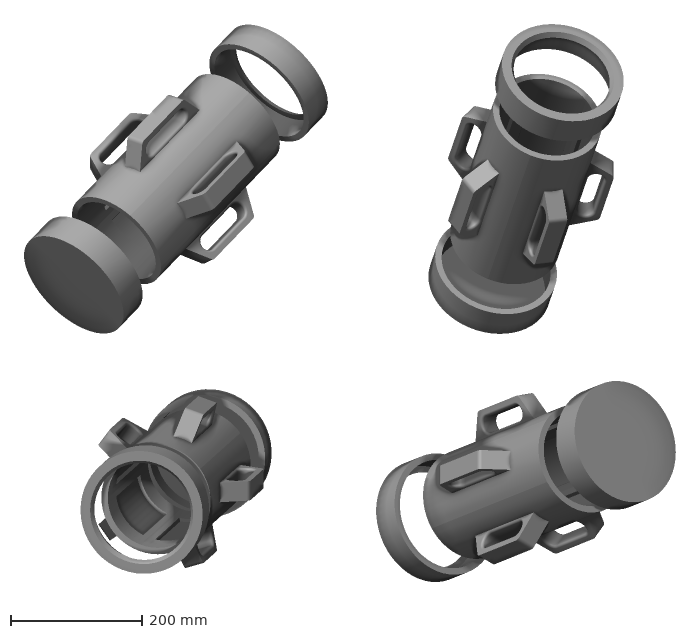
import cadquery as cq
import math

stave_count = 5
stave_angle = 360.0 / stave_count
first_stave_angle = 180.0
barrel_outer_radius = 85.0
barrel_wall = 10.0
barrel_inner_radius = barrel_outer_radius - barrel_wall
barrel_length = 300.0

pocket_depth = 5.0
pocket_floor_radius = barrel_inner_radius + pocket_depth
pocket_width = 72.0
pocket_length = 180.0

handle_tip_radius = 126.0
handle_width = 30.0
handle_embedding = 2.0
handle_root_radius = barrel_outer_radius - handle_embedding
handle_tip_half_length = 52.0
handle_root_half_length = 76.0
handle_corner_radius = 8.0

grip_slot_radius = 101.0
grip_slot_width = 26.0
grip_slot_length = 100.0
grip_edge_radius = 4.0

cap_clearance = 0.1
cap_wall = 10.0
cap_bore_radius = barrel_outer_radius + cap_clearance
cap_outer_radius = cap_bore_radius + cap_wall
cap_socket_depth = 40.0
cap_end_thickness = 8.0
cap_gap = 60.0
cap_mouth_y = barrel_length / 2 + cap_gap
cap_socket_y = cap_mouth_y + cap_socket_depth
cap_end_y = cap_socket_y + cap_end_thickness

window_border = 10.0
window_flare = 5.0
window_inner_radius = cap_bore_radius - window_border
window_outer_radius = window_inner_radius + window_flare


def ring_sector(inner_radius, outer_radius, angle, length):
    """Sector of a tube along Y, centred on +X and on Y = 0; the angle is in degrees."""
    half_angle = math.radians(angle / 2)

    def end_point(radius, side):
        return (radius * math.cos(half_angle), side * radius * math.sin(half_angle))

    return (
        cq.Workplane("XZ")
        .moveTo(*end_point(inner_radius, -1))
        .lineTo(*end_point(outer_radius, -1))
        .threePointArc((outer_radius, 0), end_point(outer_radius, 1))
        .lineTo(*end_point(inner_radius, 1))
        .threePointArc((inner_radius, 0), end_point(inner_radius, -1))
        .close()
        .extrude(length / 2, both=True)
    )


def make_pocket():
    """Cutter for the recess inside a stave centred on +X."""
    half_width = pocket_width / 2
    side_reach = math.sqrt(pocket_floor_radius**2 - half_width**2)
    return (
        cq.Workplane("XZ")
        .moveTo(0, -half_width)
        .lineTo(side_reach, -half_width)
        .threePointArc((pocket_floor_radius, 0), (side_reach, half_width))
        .lineTo(0, half_width)
        .close()
        .extrude(pocket_length / 2, both=True)
    )


def make_handle():
    """Handle standing out along +X, with rounded outer corners and a grip slot."""
    block = (
        cq.Workplane("XY")
        .polyline([
            (handle_root_radius, -handle_root_half_length),
            (handle_tip_radius, -handle_tip_half_length),
            (handle_tip_radius, handle_tip_half_length),
            (handle_root_radius, handle_root_half_length),
        ])
        .close()
        .extrude(handle_width / 2, both=True)
        .edges("|Z and >X")
        .fillet(handle_corner_radius)
    )
    slot = (
        cq.Workplane("XY")
        .center(grip_slot_radius, 0)
        .slot2D(grip_slot_length, grip_slot_width, 90)
        .extrude(handle_width, both=True)
    )
    selection_margin = 1.0
    rim_x = grip_slot_width / 2 + selection_margin
    rim_y = grip_slot_length / 2 + selection_margin
    slot_rims = cq.selectors.BoxSelector(
        (grip_slot_radius - rim_x, -rim_y, -handle_width),
        (grip_slot_radius + rim_x, rim_y, handle_width),
    )
    return block.cut(slot).faces("|Z").edges(slot_rims).fillet(grip_edge_radius)


def make_stave():
    """One sector of the barrel centred on +X, with its pocket and handle."""
    shell = ring_sector(barrel_inner_radius, barrel_outer_radius, stave_angle, barrel_length)
    return shell.cut(make_pocket()).union(make_handle())


def disc(radius, y_start, y_end):
    """Solid cylinder on the Y axis between two Y positions."""
    return cq.Workplane("XZ", origin=(0, y_end, 0)).circle(radius).extrude(y_end - y_start)


def make_closed_cap():
    """Cup at the -Y end, open towards the barrel."""
    body = disc(cap_outer_radius, -cap_end_y, -cap_mouth_y)
    return body.cut(disc(cap_bore_radius, -cap_socket_y, -cap_mouth_y))


def make_open_cap():
    """Cup at the +Y end, open towards the barrel, with a conical window in its end wall."""
    window = (
        cq.Workplane("XZ", origin=(0, cap_socket_y, 0))
        .circle(window_inner_radius)
        .workplane(offset=-cap_end_thickness)
        .circle(window_outer_radius)
        .loft()
    )
    return (
        disc(cap_outer_radius, cap_mouth_y, cap_end_y)
        .cut(disc(cap_bore_radius, cap_mouth_y, cap_socket_y))
        .cut(window)
    )


stave_at_x = make_stave()
staves = [
    stave_at_x.rotate((0, 0, 0), (0, 1, 0), first_stave_angle + index * stave_angle)
    for index in range(stave_count)
]
closed_cap = make_closed_cap()
open_cap = make_open_cap()

result = cq.Compound.makeCompound(
    [*[stave.val() for stave in staves], closed_cap.val(), open_cap.val()]
)